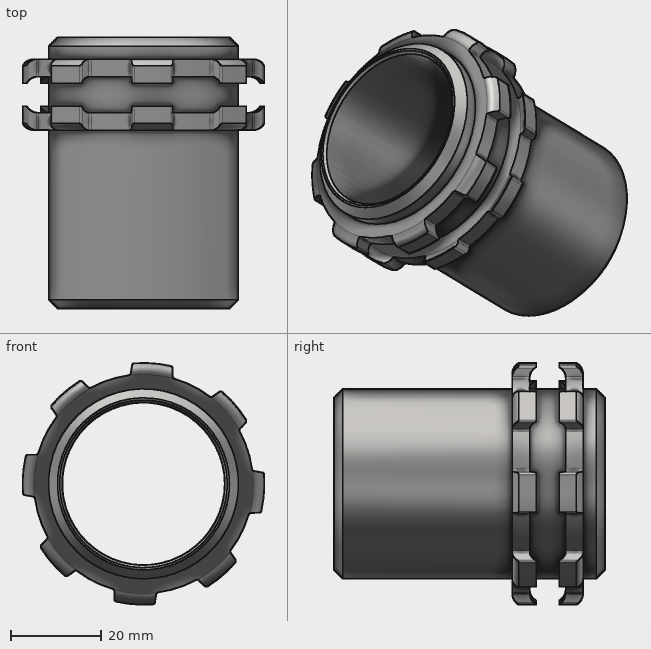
import cadquery as cq
import math


sleeve_length = 60.0
sleeve_radius = 21.0
bore_radius = 35.9 / 2
outer_chamfer = 2.0
bore_chamfer = 0.6

pair_middle_y = 17.3
far_face_offset = 7.85
ring_thickness = 3.9
ring_radius = 24.25

lug_count = 8
first_lug_angle = -4.3
lug_tip_radius = 26.75
lug_root_half_width = 4.7
lug_draft = 5.0
lug_edge_fillet = 0.55
shoulder_setback = 1.5
lip_overhang = 1.45
lip_thickness = 0.2

lug_pitch = 360 / lug_count
hooked_depth = ring_thickness + lip_overhang


def bend_middle(rise, reach):
    """Middle point of an arc that starts along the rise direction and drifts sideways by reach."""
    bend_radius = (rise**2 + reach**2) / (2 * reach)
    half_sweep = math.asin(rise / bend_radius) / 2
    return bend_radius * math.sin(half_sweep), bend_radius * (1 - math.cos(half_sweep))


def make_sleeve():
    """Tube with its outer and bore edges chamfered at both ends."""
    end = sleeve_length / 2
    outer_chamfer_y = end - outer_chamfer
    bore_chamfer_y = end - bore_chamfer
    outer_rim = sleeve_radius - outer_chamfer
    bore_rim = bore_radius + bore_chamfer
    section = [
        (bore_radius, -bore_chamfer_y),
        (bore_rim, -end),
        (outer_rim, -end),
        (sleeve_radius, -outer_chamfer_y),
        (sleeve_radius, outer_chamfer_y),
        (outer_rim, end),
        (bore_rim, end),
        (bore_radius, bore_chamfer_y),
    ]
    return cq.Workplane("XY").polyline(section).close().revolve(360, (0, 0, 0), (0, 1, 0))


def make_lug_block(angle):
    """Straight block for one lug, with drafted flanks and a round crown, from y = 0 to -hooked_depth."""
    draft_slope = math.tan(math.radians(lug_draft))
    inner_half_width = lug_root_half_width + (ring_radius - sleeve_radius) * draft_slope
    tip_half_width = lug_root_half_width - (lug_tip_radius - ring_radius) * draft_slope
    tip_corner = math.sqrt(lug_tip_radius**2 - tip_half_width**2)
    block = (
        cq.Workplane("XZ")
        .moveTo(sleeve_radius, -inner_half_width)
        .lineTo(tip_corner, -tip_half_width)
        .threePointArc((lug_tip_radius, 0), (tip_corner, tip_half_width))
        .lineTo(sleeve_radius, inner_half_width)
        .close()
        .extrude(hooked_depth)
    )
    return block.rotate((0, 0, 0), (0, -1, 0), angle)


def make_lugged_disc():
    """Disc with every lug block on its rim and the lugs' long edges rounded."""
    disc = cq.Workplane("XZ").circle(ring_radius).extrude(hooked_depth)
    for index in range(lug_count):
        disc = disc.union(make_lug_block(first_lug_angle + index * lug_pitch))
    return disc.edges("|Y").fillet(lug_edge_fillet)


def make_hook_envelope():
    """Revolved ring whose section has the rounded shoulder and the hollow behind the lip."""
    lip_radius = lug_tip_radius - lip_thickness
    hollow_out, hollow_along = bend_middle(lip_radius - ring_radius, lip_overhang)
    shoulder_out, shoulder_along = bend_middle(lug_tip_radius - ring_radius, shoulder_setback)
    return (
        cq.Workplane("XY")
        .moveTo(sleeve_radius, 0)
        .lineTo(sleeve_radius, -ring_thickness)
        .lineTo(ring_radius, -ring_thickness)
        .threePointArc(
            (ring_radius + hollow_out, -ring_thickness - hollow_along),
            (lip_radius, -hooked_depth),
        )
        .lineTo(lug_tip_radius, -hooked_depth)
        .lineTo(lug_tip_radius, -shoulder_setback)
        .threePointArc((ring_radius + shoulder_out, -shoulder_along), (ring_radius, 0))
        .close()
        .revolve(360, (0, 0, 0), (0, 1, 0))
    )


def make_lock_rings():
    """The two lock rings on the sleeve; the front ring mirrors the rear one."""
    hooked_ring = make_lugged_disc().intersect(make_hook_envelope())
    rear_ring = hooked_ring.translate((0, far_face_offset, 0))
    pair = [rear_ring, rear_ring.mirror("XZ")]
    return [ring.translate((0, pair_middle_y, 0)).solids().val() for ring in pair]


sleeve = make_sleeve()
lock_rings = make_lock_rings()

result = cq.Compound.makeCompound([sleeve.val(), *lock_rings])